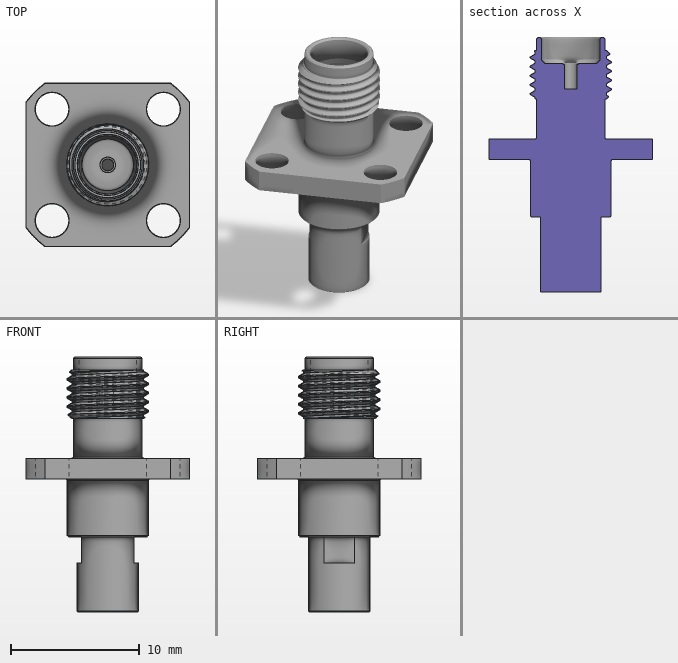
import cadquery as cq
import math

TOTAL_LENGTH = 19.79
PLUG_LENGTH = 5.82
BODY_LENGTH = 4.48
FLANGE_THICKNESS = 1.62
BODY_BASE_Z = PLUG_LENGTH
FLANGE_BASE_Z = BODY_BASE_Z + BODY_LENGTH
FLANGE_TOP_Z = FLANGE_BASE_Z + FLANGE_THICKNESS

PLUG_RADIUS = 4.75 / 2
PLUG_CHAMFER = 0.06
BODY_RADIUS = 6.3 / 2
BODY_CHAMFER = 0.12
BARREL_RADIUS = 5.334 / 2
BARREL_CHAMFER = 0.12
BARREL_FILLET = 0.127
COLLAR_FLARE = 0.05
COLLAR_HEIGHT = 0.12

FLANGE_WIDTH = 12.7
FLANGE_CORNER_RADIUS = 8.0
MOUNT_HOLE_SPACING = 8.64
MOUNT_HOLE_DIAMETER = 2.6

FLAT_DISTANCE = 4.1
FLAT_LENGTH = 2.02

PITCH = 25.4 / 36
FLANK_ANGLE = math.radians(30)
THREAD_RADIUS = 6.35 / 2
THREAD_DEPTH = 5 / 8 * PITCH * math.cos(FLANK_ANGLE)
THREAD_ROOT_RADIUS = THREAD_RADIUS - THREAD_DEPTH
CREST_FLAT = PITCH / 8
THREAD_END_MARGIN = 1.0
THREAD_LENGTH = 3.79
THREAD_TOP_Z = TOTAL_LENGTH - THREAD_END_MARGIN
THREAD_BASE_Z = THREAD_TOP_Z - THREAD_LENGTH
CREST_Z = 18.40
RIDGE_SINK = 0.02

SOCKET_RADIUS = 4.5 / 2
SOCKET_CHAMFER = 0.12
SOCKET_DEPTH = 2.0
SOCKET_FLOOR_RADIUS = 2.0
CONTACT_RADIUS = 0.6
CONTACT_RECESS = 0.1
PIN_HOLE_RADIUS = 0.46
PIN_HOLE_DEPTH = 2.0


def cylinder(radius, base_z, height):
    return cq.Workplane("XY").workplane(offset=base_z).circle(radius).extrude(height)


def make_plug():
    plug = cylinder(PLUG_RADIUS, 0, PLUG_LENGTH).faces("<Z").chamfer(PLUG_CHAMFER)
    flat_base_z = PLUG_LENGTH - FLAT_LENGTH
    slab = (
        cq.Workplane("XY")
        .workplane(offset=flat_base_z)
        .rect(FLAT_DISTANCE, 2 * PLUG_RADIUS)
        .extrude(FLAT_LENGTH)
    )
    waste = cylinder(PLUG_RADIUS, flat_base_z, FLAT_LENGTH).cut(slab)
    return plug.cut(waste)


def make_body():
    body = cylinder(BODY_RADIUS, BODY_BASE_Z, BODY_LENGTH).faces("<Z").chamfer(BODY_CHAMFER)
    collar = cq.Workplane(
        cq.Solid.makeCone(
            BODY_RADIUS,
            BODY_RADIUS + COLLAR_FLARE,
            COLLAR_HEIGHT,
            pnt=cq.Vector(0, 0, FLANGE_BASE_Z - COLLAR_HEIGHT),
        )
    )
    return body.union(collar)


def make_flange():
    square = (
        cq.Workplane("XY")
        .workplane(offset=FLANGE_BASE_Z)
        .rect(FLANGE_WIDTH, FLANGE_WIDTH)
        .extrude(FLANGE_THICKNESS)
    )
    flange = square.intersect(cylinder(FLANGE_CORNER_RADIUS, FLANGE_BASE_Z, FLANGE_THICKNESS))
    return (
        flange.faces(">Z")
        .workplane(origin=(0, 0, FLANGE_TOP_Z))
        .rect(MOUNT_HOLE_SPACING, MOUNT_HOLE_SPACING, forConstruction=True)
        .vertices()
        .hole(MOUNT_HOLE_DIAMETER)
    )


def make_barrel():
    """Barrel profile turned about Z, with a concave fillet at the flange."""
    arc_middle = BARREL_FILLET * (1 - math.sqrt(0.5))
    return (
        cq.Workplane("XZ")
        .moveTo(0, FLANGE_TOP_Z)
        .lineTo(BARREL_RADIUS + BARREL_FILLET, FLANGE_TOP_Z)
        .threePointArc(
            (BARREL_RADIUS + arc_middle, FLANGE_TOP_Z + arc_middle),
            (BARREL_RADIUS, FLANGE_TOP_Z + BARREL_FILLET),
        )
        .lineTo(BARREL_RADIUS, TOTAL_LENGTH - BARREL_CHAMFER)
        .lineTo(BARREL_RADIUS - BARREL_CHAMFER, TOTAL_LENGTH)
        .lineTo(0, TOTAL_LENGTH)
        .close()
        .revolve(360, (0, 0), (0, 1))
    )


def make_thread():
    """Helical ridge on a core, with both ends trimmed to a 45-degree chamfer."""
    core = cylinder(THREAD_ROOT_RADIUS, THREAD_BASE_Z, THREAD_LENGTH)
    envelope = cylinder(THREAD_RADIUS, THREAD_BASE_Z, THREAD_LENGTH).edges().chamfer(THREAD_DEPTH)

    turns_below_crest = math.ceil((CREST_Z - THREAD_BASE_Z) / PITCH) + 1
    start_z = CREST_Z - turns_below_crest * PITCH
    turns = math.ceil((THREAD_TOP_Z - start_z) / PITCH) + 1
    foot_radius = THREAD_ROOT_RADIUS - RIDGE_SINK
    crest_half = CREST_FLAT / 2
    foot_half = crest_half + (THREAD_DEPTH + RIDGE_SINK) * math.tan(FLANK_ANGLE)

    path = cq.Wire.makeHelix(PITCH, turns * PITCH, THREAD_ROOT_RADIUS, center=cq.Vector(0, 0, start_z))
    ridge = (
        cq.Workplane("XZ")
        .moveTo(foot_radius, start_z - foot_half)
        .lineTo(THREAD_RADIUS, start_z - crest_half)
        .lineTo(THREAD_RADIUS, start_z + crest_half)
        .lineTo(foot_radius, start_z + foot_half)
        .close()
        .sweep(cq.Workplane(path), isFrenet=True)
    )
    return core.union(envelope.intersect(ridge))


def make_socket():
    """Volume removed from the mouth: chamfered bore, conical floor edge and contact hole."""
    floor_z = TOTAL_LENGTH - SOCKET_DEPTH
    cone_top_z = floor_z + SOCKET_RADIUS - SOCKET_FLOOR_RADIUS
    bore = (
        cq.Workplane("XZ")
        .moveTo(0, floor_z)
        .lineTo(SOCKET_FLOOR_RADIUS, floor_z)
        .lineTo(SOCKET_RADIUS, cone_top_z)
        .lineTo(SOCKET_RADIUS, TOTAL_LENGTH - SOCKET_CHAMFER)
        .lineTo(SOCKET_RADIUS + SOCKET_CHAMFER, TOTAL_LENGTH)
        .lineTo(0, TOTAL_LENGTH)
        .close()
        .revolve(360, (0, 0), (0, 1))
    )
    recess = cylinder(CONTACT_RADIUS, floor_z - CONTACT_RECESS, CONTACT_RECESS)
    pin_hole = cylinder(PIN_HOLE_RADIUS, floor_z - PIN_HOLE_DEPTH, PIN_HOLE_DEPTH)
    return bore.union(recess).union(pin_hole)


result = (
    make_plug()
    .union(make_body())
    .union(make_flange())
    .union(make_barrel())
    .union(make_thread())
    .cut(make_socket())
)